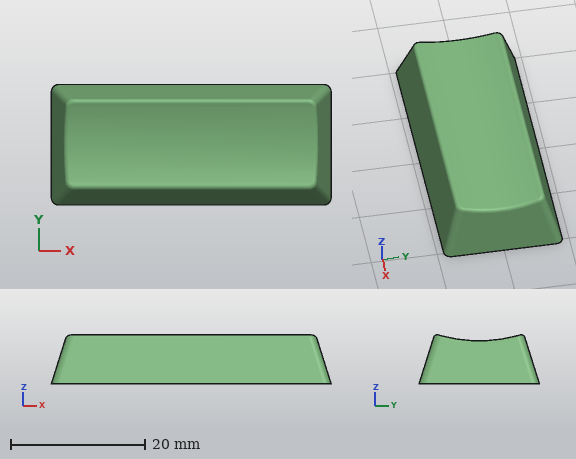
import cadquery as cq

length = 41.8
width = 18.0
wall_draft = 17.5
corner_radius = 1.2
dish_radius = 21.32
dish_floor = 6.45
rim_radius = 0.6
blank_height = 8.35


def tapered_body():
    """Rectangular block whose walls lean inward, with rounded sloping corners."""
    block = cq.Workplane("XY").rect(length, width).extrude(blank_height, taper=wall_draft)
    return block.edges("not(|X or |Y)").fillet(corner_radius)


def dish_cutter():
    """Cylinder along X that hollows the top between the two long walls."""
    return (
        cq.Workplane("YZ")
        .center(0, dish_floor + dish_radius)
        .circle(dish_radius)
        .extrude(length / 2, both=True)
    )


def round_rim(body):
    """Round every edge around the dish, which is the uppermost face."""
    return body.faces(">Z").edges().fillet(rim_radius)


result = round_rim(tapered_body().cut(dish_cutter()))